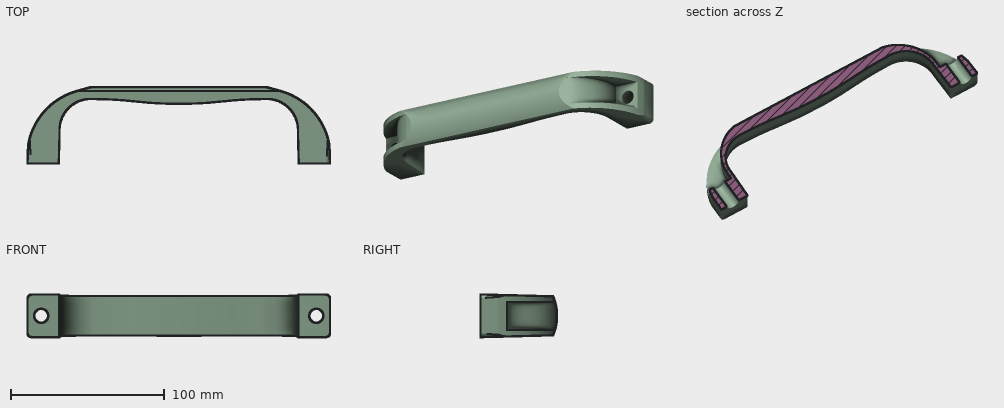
import cadquery as cq
import math

LENGTH = 197.0
HEIGHT = 50.0
WIDTH = 28.0
DRAFT_ANGLE = 1.5
DRAFT = math.tan(math.radians(DRAFT_ANGLE))

OUTER_ARC_START_Y = 11.6
OUTER_ARC_END_X = 66.6
OUTER_ARC_RADIUS = 44.5
GRIP_BACK_HALF_LENGTH = 57.0

LEG_WIDTH = 20.5
INNER_LEG_HEIGHT = 20.9
INNER_CORNER_END_X = 55.4
INNER_CORNER_END_Y = 42.0
INNER_CORNER_RADIUS = 20.0
PALM_SWELL = 3.1
SWELL_INFLECTION_X = 29.3

CROWN_EDGE_Y = 47.3

FOOT_CORNER_RADIUS = 3.0

HOLE_DIAMETER = 9.0
HOLE_SPACING = 179.0
POCKET_WIDTH = 18.3
POCKET_SEAT_Y = 17.4
POCKET_FLOOR_X = HOLE_SPACING / 2 - POCKET_WIDTH / 2
POCKET_ARC_START_Y = INNER_LEG_HEIGHT
POCKET_ARC_RADIUS = 30.0


def arc_middle(start, end, radius):
    """Middle point of the short arc that bulges to the left of start -> end."""
    chord_x = end[0] - start[0]
    chord_y = end[1] - start[1]
    chord = math.hypot(chord_x, chord_y)
    bulge = radius - math.sqrt(radius**2 - (chord / 2) ** 2)
    return (
        (start[0] + end[0]) / 2 - chord_y / chord * bulge,
        (start[1] + end[1]) / 2 + chord_x / chord * bulge,
    )


def arc_radius(run, rise):
    """Radius of an arc that starts level and gains the given rise over the given run."""
    return (run**2 + rise**2) / (2 * rise)


def mirrored(point):
    return (-point[0], point[1])


def handle_profile():
    """Bow-shaped outline in XY, extruded over the full width."""
    foot_outer = (-LENGTH / 2, 0)
    outer_start = (-LENGTH / 2 + OUTER_ARC_START_Y * DRAFT, OUTER_ARC_START_Y)
    outer_end = (-OUTER_ARC_END_X, CROWN_EDGE_Y)
    outer_middle = arc_middle(outer_start, outer_end, OUTER_ARC_RADIUS)
    back_end = (-GRIP_BACK_HALF_LENGTH, HEIGHT)

    foot_inner = (-LENGTH / 2 + LEG_WIDTH, 0)
    inner_start = (foot_inner[0] + INNER_LEG_HEIGHT * DRAFT, INNER_LEG_HEIGHT)
    inner_end = (-INNER_CORNER_END_X, INNER_CORNER_END_Y)
    inner_middle = arc_middle(inner_start, inner_end, INNER_CORNER_RADIUS)

    swell_middle = (0, INNER_CORNER_END_Y - PALM_SWELL)
    swell_share = SWELL_INFLECTION_X / INNER_CORNER_END_X
    inflection = (-SWELL_INFLECTION_X, swell_middle[1] + PALM_SWELL * swell_share)
    hollow_radius = arc_radius(INNER_CORNER_END_X - SWELL_INFLECTION_X, inner_end[1] - inflection[1])
    swell_radius = arc_radius(SWELL_INFLECTION_X, inflection[1] - swell_middle[1])
    hollow_middle = arc_middle(inner_end, inflection, hollow_radius)
    bulge_middle = arc_middle(swell_middle, inflection, swell_radius)

    return (
        cq.Workplane("XY", origin=(0, 0, -WIDTH / 2))
        .moveTo(*foot_outer)
        .lineTo(*outer_start)
        .threePointArc(outer_middle, outer_end)
        .lineTo(*back_end)
        .lineTo(*mirrored(back_end))
        .lineTo(*mirrored(outer_end))
        .threePointArc(mirrored(outer_middle), mirrored(outer_start))
        .lineTo(*mirrored(foot_outer))
        .lineTo(*mirrored(foot_inner))
        .lineTo(*mirrored(inner_start))
        .threePointArc(mirrored(inner_middle), mirrored(inner_end))
        .threePointArc(mirrored(hollow_middle), mirrored(inflection))
        .threePointArc(mirrored(bulge_middle), swell_middle)
        .threePointArc(bulge_middle, inflection)
        .threePointArc(hollow_middle, inner_end)
        .threePointArc(inner_middle, inner_start)
        .lineTo(*foot_inner)
        .close()
        .extrude(WIDTH)
    )


def crowned_section():
    """Cross-section in YZ with drafted sides and a domed back, run along the whole length."""
    foot_half = WIDTH / 2
    back_half = foot_half - CROWN_EDGE_Y * DRAFT
    return (
        cq.Workplane("YZ", origin=(-LENGTH / 2, 0, 0))
        .moveTo(0, -foot_half)
        .lineTo(CROWN_EDGE_Y, -back_half)
        .threePointArc((HEIGHT, 0), (CROWN_EDGE_Y, back_half))
        .lineTo(0, foot_half)
        .close()
        .extrude(LENGTH)
    )


def rounded_footprint():
    """Footprint in XZ that rounds the outer corners of both feet."""
    return (
        cq.Workplane("XY")
        .box(LENGTH, HEIGHT, WIDTH, centered=(True, False, True))
        .edges("|Y")
        .fillet(FOOT_CORNER_RADIUS)
    )


def screw_hole(side):
    """Screw hole through the foot at the -X (side = -1) or +X (side = 1) end."""
    axis = cq.Vector(0, 1, 0)
    foot_centre = cq.Vector(side * HOLE_SPACING / 2, 0, 0)
    return cq.Workplane(cq.Solid.makeCylinder(HOLE_DIAMETER / 2, HEIGHT, foot_centre, axis))


def screw_pocket(side):
    """Screw-head pocket, open to the outside, whose floor follows the bend of the handle."""
    seat_floor = (-POCKET_FLOOR_X, POCKET_SEAT_Y)
    arc_start = (-POCKET_FLOOR_X, POCKET_ARC_START_Y)
    arc_top = (-POCKET_FLOOR_X + POCKET_ARC_RADIUS, POCKET_ARC_START_Y + POCKET_ARC_RADIUS)
    arc_quarter = arc_middle(arc_start, arc_top, POCKET_ARC_RADIUS)
    outside_top = (-LENGTH / 2, arc_top[1])
    outside_seat = (-LENGTH / 2, POCKET_SEAT_Y)
    pocket = (
        cq.Workplane("XY", origin=(0, 0, -POCKET_WIDTH / 2))
        .moveTo(*seat_floor)
        .lineTo(*arc_start)
        .threePointArc(arc_quarter, arc_top)
        .lineTo(*outside_top)
        .lineTo(*outside_seat)
        .close()
        .extrude(POCKET_WIDTH)
    )
    return pocket if side < 0 else pocket.mirror("YZ")


result = handle_profile().intersect(crowned_section()).intersect(rounded_footprint())
for side in (-1, 1):
    result = result.cut(screw_pocket(side)).cut(screw_hole(side))